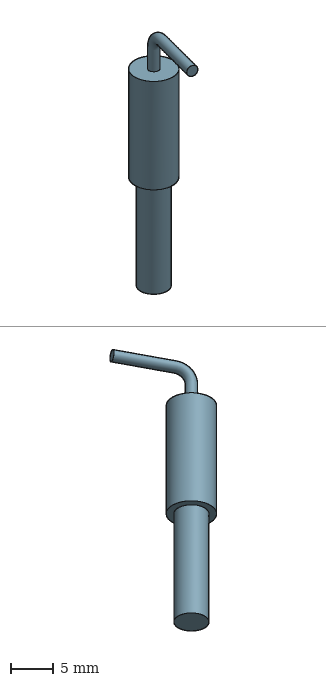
import cadquery as cq

total_height = 35.75
total_length = 13.0
body_diameter = 6.0
stem_diameter = 4.2
wire_diameter = 1.5
stem_height = 15.0
body_height = 15.0
bend_radius = 2.0

body_top = stem_height + body_height
wire_axis_height = total_height - wire_diameter / 2
bend_start_height = wire_axis_height - bend_radius
wire_end = total_length - body_diameter / 2


def make_holder():
    """Slim lower stem carrying the wider cylindrical body."""
    stem = cq.Workplane("XY").circle(stem_diameter / 2).extrude(stem_height)
    return stem.faces(">Z").workplane().circle(body_diameter / 2).extrude(body_height)


def make_wire():
    """Round wire rising from the body and bending a quarter turn towards +X."""
    path = (
        cq.Workplane("XZ")
        .moveTo(0, body_top)
        .lineTo(0, bend_start_height)
        .radiusArc((bend_radius, wire_axis_height), bend_radius)
        .lineTo(wire_end, wire_axis_height)
    )
    return cq.Workplane("XY", origin=(0, 0, body_top)).circle(wire_diameter / 2).sweep(path)


result = make_holder().union(make_wire())